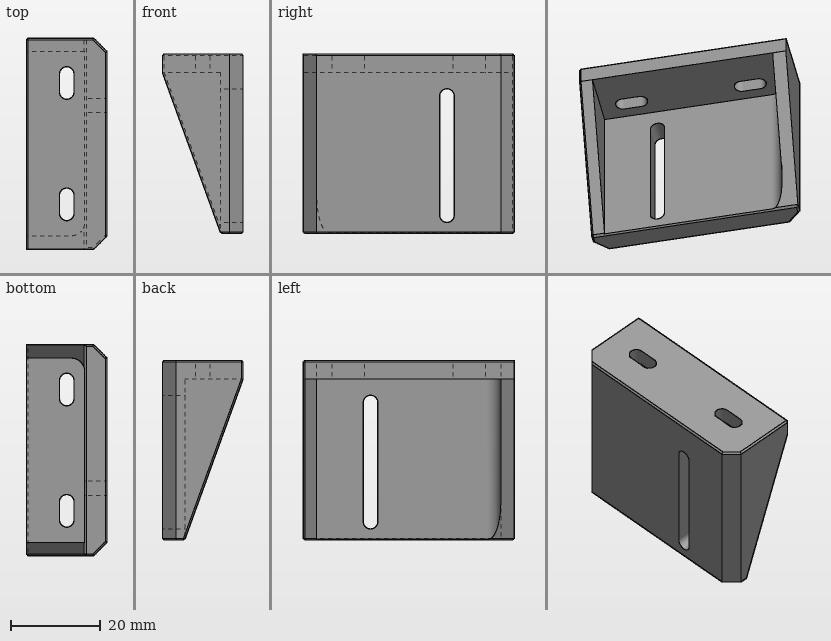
import cadquery as cq

depth = 18.0
width = 47.0
height = 40.0

shelf_thickness = 4.2
wall_thickness = 5.0
rib_thickness = 3.0
rib_fillet = 3.0

corner_chamfer = 3.0
edge_break = 0.4

slot_width = 3.2
shelf_slot_length = 7.2
shelf_slot_x = depth / 2
shelf_slot_inset = 10.0
wall_slot_y = 32.0
wall_slot_bottom = 2.5
wall_slot_top = 32.2

wall_front = depth - wall_thickness
shelf_underside = height - shelf_thickness
tolerance = 0.01


def box_between(low, high):
    """Selector for edges whose centres lie in the box with these opposite corners."""
    return cq.selectors.BoxSelector(low, high)


def outer_body():
    """Side profile with sloping front, extruded over the full width."""
    profile = [
        (0, height),
        (depth, height),
        (depth, 0),
        (wall_front, 0),
        (0, shelf_underside),
    ]
    body = cq.Workplane("XZ").polyline(profile).close().extrude(-width)
    return body.edges("|Z and >X").chamfer(corner_chamfer)


def break_edges(body):
    """Break the bottom rim, the +Y front edges and the top rim except along the y = 0 end."""
    front_end_edges = box_between(
        (-tolerance, width - tolerance, tolerance),
        (wall_front, width + tolerance, height - tolerance),
    )
    top_rim_edges = box_between(
        (-tolerance, corner_chamfer, height - tolerance),
        (depth + tolerance, width + tolerance, height + tolerance),
    )
    broken = body.faces("<Z").edges()
    broken = broken.add(body.edges(front_end_edges))
    broken = broken.add(body.edges(top_rim_edges))
    return broken.chamfer(edge_break)


def pocket():
    """Space between the ribs, below the shelf and in front of the wall."""
    opening_width = width - 2 * rib_thickness
    opening = cq.Workplane("XY").box(wall_front, opening_width, shelf_underside, centered=False)
    opening = opening.translate((0, rib_thickness, 0))
    return opening.edges("|Z and >X and <Y").fillet(rib_fillet)


def shelf_slots():
    """Two upright slots through the shelf, long along Y."""
    centres = [
        (shelf_slot_x, shelf_slot_inset),
        (shelf_slot_x, width - shelf_slot_inset),
    ]
    plane = cq.Workplane("XY").workplane(offset=shelf_underside)
    return plane.pushPoints(centres).slot2D(shelf_slot_length, slot_width, 90).extrude(shelf_thickness)


def wall_slot():
    """One tall slot through the wall, long along Z."""
    length = wall_slot_top - wall_slot_bottom
    centre_z = (wall_slot_top + wall_slot_bottom) / 2
    plane = cq.Workplane("YZ").workplane(offset=wall_front)
    return plane.center(wall_slot_y, centre_z).slot2D(length, slot_width, 90).extrude(wall_thickness)


result = break_edges(outer_body()).cut(pocket()).cut(shelf_slots()).cut(wall_slot())